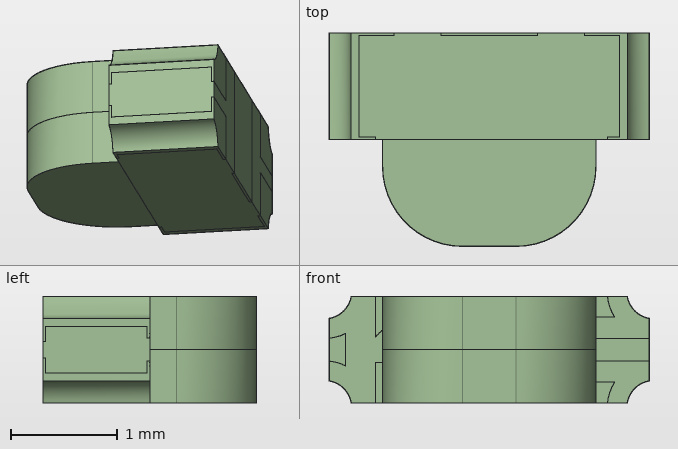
import cadquery as cq


LENGTH = 3.0
DEPTH = 1.0
HEIGHT = 1.0
HALF_LENGTH = LENGTH / 2
HALF_HEIGHT = HEIGHT / 2

CORNER_OFFSET = 0.04
CORNER_X = HALF_LENGTH + CORNER_OFFSET
CORNER_Z = HALF_HEIGHT + CORNER_OFFSET
CASTELLATION_RADIUS = 0.25
WALL_PLATING_RADIUS = 0.325
FRONT_RING_RADIUS = 0.435

PLATING_THICKNESS = 0.025
BACK_PAD_INNER_X = 0.89
BACK_PAD_GAP = 0.154
MARK_WIDTH = 0.9
STRIP_INNER_X = 1.065
STRIP_OUTER_X = 1.345
TONGUE_END_X = 0.5
LEFT_TONGUE_HALF_HEIGHT = 0.12
RIGHT_TONGUE_BOTTOM = CORNER_Z - FRONT_RING_RADIUS
RIGHT_TONGUE_HEIGHT = 0.2
RIGHT_TONGUE_TOP = RIGHT_TONGUE_BOTTOM + RIGHT_TONGUE_HEIGHT

LENS_WIDTH = 2.0
LENS_DEPTH = 1.0
LENS_CORNER_RADIUS = 0.75


def box(x_min, x_max, y_min, y_max, z_min, z_max):
    """Axis-aligned box between the given limits."""
    return (
        cq.Workplane("XY")
        .box(x_max - x_min, y_max - y_min, z_max - z_min, centered=False)
        .translate((x_min, y_min, z_min))
    )


def corner_cylinder(x_side, z_side, radius, depth):
    """Cylinder about a castellation axis, running back from the front face."""
    return (
        cq.Workplane("XZ")
        .center(x_side * CORNER_X, z_side * CORNER_Z)
        .circle(radius)
        .extrude(-depth)
    )


def make_blank():
    """Full outline of the substrate with its plating, castellated at all four corners."""
    blank = box(-HALF_LENGTH, HALF_LENGTH, 0, DEPTH, -HALF_HEIGHT, HALF_HEIGHT)
    for x_side in (-1, 1):
        for z_side in (-1, 1):
            blank = blank.cut(corner_cylinder(x_side, z_side, CASTELLATION_RADIUS, DEPTH))
    return blank


def corner_plating(x_side, z_side):
    """Castellation wall plating with its front ring and its pad on the back face."""
    wall = corner_cylinder(x_side, z_side, WALL_PLATING_RADIUS, DEPTH)
    ring = corner_cylinder(x_side, z_side, FRONT_RING_RADIUS, PLATING_THICKNESS)
    x_min, x_max = sorted((x_side * BACK_PAD_INNER_X, x_side * HALF_LENGTH))
    z_min, z_max = sorted((z_side * BACK_PAD_GAP / 2, z_side * HALF_HEIGHT))
    pad = box(x_min, x_max, DEPTH - PLATING_THICKNESS, DEPTH, z_min, z_max)
    return wall.union(ring).union(pad)


def make_left_terminal(blank):
    """Common terminal: both left corners, joined by a strip that carries a tongue under the lens."""
    strip = box(-STRIP_OUTER_X, -STRIP_INNER_X, 0, PLATING_THICKNESS, -HALF_HEIGHT, HALF_HEIGHT)
    bevel = RIGHT_TONGUE_TOP - LEFT_TONGUE_HALF_HEIGHT
    tongue = (
        cq.Workplane("XZ")
        .moveTo(-STRIP_INNER_X, -LEFT_TONGUE_HALF_HEIGHT)
        .lineTo(-TONGUE_END_X, -LEFT_TONGUE_HALF_HEIGHT)
        .lineTo(-TONGUE_END_X, RIGHT_TONGUE_TOP)
        .lineTo(-STRIP_INNER_X + bevel, RIGHT_TONGUE_TOP)
        .lineTo(-STRIP_INNER_X, LEFT_TONGUE_HALF_HEIGHT)
        .close()
        .extrude(-PLATING_THICKNESS)
    )
    plating = strip.union(tongue)
    for z_side in (-1, 1):
        plating = plating.union(corner_plating(-1, z_side))
    return plating.intersect(blank)


def make_right_terminal(blank, z_side):
    """Single right corner with its own tongue running under the lens."""
    z_min, z_max = sorted((z_side * RIGHT_TONGUE_BOTTOM, z_side * RIGHT_TONGUE_TOP))
    tongue = box(TONGUE_END_X, HALF_LENGTH, 0, PLATING_THICKNESS, z_min, z_max)
    return corner_plating(1, z_side).union(tongue).intersect(blank)


def make_back_mark():
    """Thin panel inlaid across the middle of the back face."""
    return box(
        -MARK_WIDTH / 2, MARK_WIDTH / 2, DEPTH - PLATING_THICKNESS, DEPTH, -HALF_HEIGHT, HALF_HEIGHT
    )


def make_lens_half(z_side):
    """Half of the lens, above or below the mid plane, with its two front corners rounded."""
    z_min, z_max = sorted((0, z_side * HALF_HEIGHT))
    block = box(-LENS_WIDTH / 2, LENS_WIDTH / 2, -LENS_DEPTH, 0, z_min, z_max)
    return block.faces("<Y").edges("|Z").fillet(LENS_CORNER_RADIUS)


blank = make_blank()
left_terminal = make_left_terminal(blank)
right_terminals = [make_right_terminal(blank, z_side) for z_side in (-1, 1)]
back_mark = make_back_mark()
lens_halves = [make_lens_half(z_side) for z_side in (-1, 1)]

substrate = blank
for plated in [left_terminal, *right_terminals, back_mark]:
    substrate = substrate.cut(plated)

bodies = [substrate, left_terminal, *right_terminals, back_mark, *lens_halves]
result = cq.Compound.makeCompound([body.solids().val() for body in bodies])